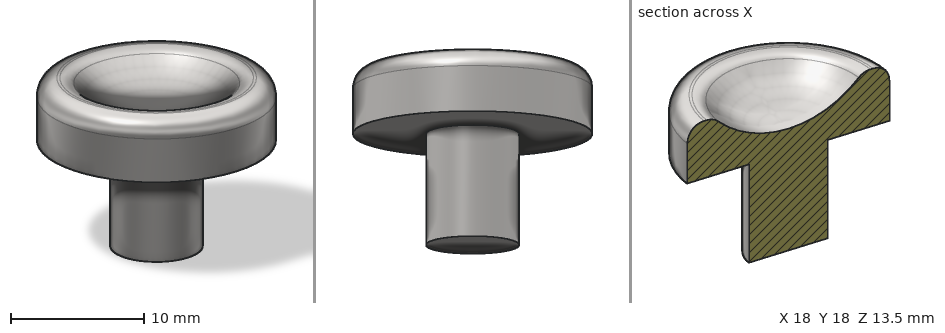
import cadquery as cq
import math

cap_radius = 18.0 / 2
cap_height = 5.0
rim_fillet = 1.5

stem_radius = 7.0 / 2
stem_length = 8.5

dish_sphere_radius = 9.0
dish_depth = 2.93

cap_top = cap_height
sphere_center_z = cap_top - dish_depth + dish_sphere_radius

round_center_z = cap_top - rim_fillet
center_distance = dish_sphere_radius + rim_fillet
center_rise = sphere_center_z - round_center_z
round_center_r = math.sqrt(center_distance**2 - center_rise**2)
contact_angle = math.asin(round_center_r / center_distance)


def dish_point(angle):
    """Profile point on the dish sphere, at an angle from straight down."""
    radius = dish_sphere_radius * math.sin(angle)
    height = sphere_center_z - dish_sphere_radius * math.cos(angle)
    return (radius, height)


def inner_round_point(angle):
    """Profile point on the inner rim round, at an angle from straight up."""
    radius = round_center_r - rim_fillet * math.sin(angle)
    height = round_center_z + rim_fillet * math.cos(angle)
    return (radius, height)


def outer_round_point(angle):
    """Profile point on the outer rim round, at an angle from straight up."""
    radius = cap_radius - rim_fillet + rim_fillet * math.sin(angle)
    height = cap_top - rim_fillet + rim_fillet * math.cos(angle)
    return (radius, height)


def make_knob():
    """Revolve the half profile of stem, cap and dish about the Z axis."""
    quarter_turn = math.pi / 2
    profile = (
        cq.Workplane("XZ")
        .moveTo(0, -stem_length)
        .lineTo(stem_radius, -stem_length)
        .lineTo(stem_radius, 0)
        .lineTo(cap_radius, 0)
        .lineTo(*outer_round_point(quarter_turn))
        .threePointArc(outer_round_point(quarter_turn / 2), outer_round_point(0))
        .lineTo(*inner_round_point(0))
        .threePointArc(inner_round_point(contact_angle / 2), inner_round_point(contact_angle))
        .threePointArc(dish_point(contact_angle / 2), dish_point(0))
        .close()
    )
    return profile.revolve(360, (0, 0, 0), (0, 1, 0))


result = make_knob()